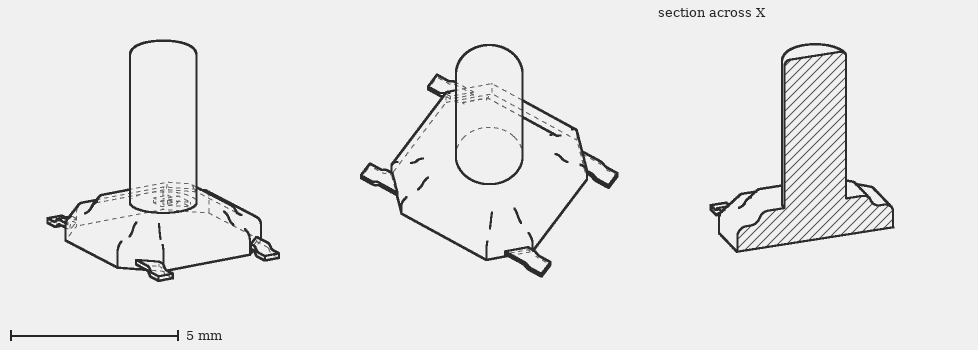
import cadquery as cq
import math

lead_span = 6.4
body_width = 5.0
total_height = 6.0

corner_cut = 1.0
base_height = 0.8
body_height = 1.2
edge_radius = 0.3
top_inset = 1.0

button_radius = 1.0
button_edge_radius = 0.2

lead_thickness = 0.15
lead_width = 0.5
lead_center_y = 1.85
foot_length = 0.365
bend_length = 0.26
lower_bend_shift = 0.06
lead_embedment = 0.77


def body_slab(half_width, angle):
    """Stepped profile, long enough to cross the body, turned about Z."""
    arc_height = (body_height - base_height) / 2
    arc_angle = math.acos(1 - arc_height / edge_radius)
    arc_width = edge_radius * math.sin(arc_angle)
    mid_rise = edge_radius * (1 - math.cos(arc_angle / 2))
    mid_run = edge_radius * math.sin(arc_angle / 2)
    edge_setback = edge_radius * (1 - math.sqrt(0.5))

    top_x = half_width - top_inset
    middle_x = top_x + arc_width
    step_x = middle_x + arc_width
    middle_z = base_height + arc_height
    slab_length = 2 * body_width

    half_profile = (
        cq.Workplane("XZ")
        .moveTo(0, 0)
        .lineTo(half_width, 0)
        .lineTo(half_width, base_height - edge_radius)
        .threePointArc(
            (half_width - edge_setback, base_height - edge_setback),
            (half_width - edge_radius, base_height),
        )
        .lineTo(step_x, base_height)
        .threePointArc((step_x - mid_run, base_height + mid_rise), (middle_x, middle_z))
        .threePointArc((top_x + mid_run, body_height - mid_rise), (top_x, body_height))
        .lineTo(0, body_height)
        .close()
        .extrude(slab_length / 2, both=True)
    )
    slab = half_profile.union(half_profile.mirror("YZ"))
    return slab.rotate((0, 0, 0), (0, 0, 1), angle)


def make_body():
    """Crossed slabs meet in mitred corners with the same profile on all eight sides."""
    side_half_width = body_width / 2
    corner_half_width = (body_width - corner_cut) / math.sqrt(2)
    body = body_slab(side_half_width, 0)
    body = body.intersect(body_slab(side_half_width, 90))
    body = body.intersect(body_slab(corner_half_width, 45))
    return body.intersect(body_slab(corner_half_width, -45))


def make_button():
    return (
        cq.Workplane("XY")
        .circle(button_radius)
        .extrude(total_height)
        .faces(">Z")
        .edges()
        .fillet(button_edge_radius)
    )


def make_lead(side_x, side_y):
    """Strip that steps up by its own thickness through an S-bend into the body."""
    tip_x = lead_span / 2
    bend_x = tip_x - foot_length
    inner_x = body_width / 2 - lead_embedment
    bend_end_x = bend_x - bend_length

    lower_bend_x = bend_x - lower_bend_shift
    lower_bend_end_x = bend_end_x - lower_bend_shift
    shoulder_z = 2 * lead_thickness
    inward = (-1, 0)
    outward = (1, 0)

    lead = (
        cq.Workplane("XZ", origin=(0, lead_width / 2, 0))
        .moveTo(tip_x, 0)
        .lineTo(tip_x, lead_thickness)
        .lineTo(bend_x, lead_thickness)
        .spline([(bend_end_x, shoulder_z)], tangents=[inward, inward], includeCurrent=True)
        .lineTo(inner_x, shoulder_z)
        .lineTo(inner_x, lead_thickness)
        .lineTo(lower_bend_end_x, lead_thickness)
        .spline([(lower_bend_x, 0)], tangents=[outward, outward], includeCurrent=True)
        .close()
        .extrude(lead_width)
    )
    if side_x < 0:
        lead = lead.mirror("YZ")
    return lead.translate((0, side_y * lead_center_y, 0))


result = make_body().union(make_button())
for side_x in (-1, 1):
    for side_y in (-1, 1):
        result = result.union(make_lead(side_x, side_y))